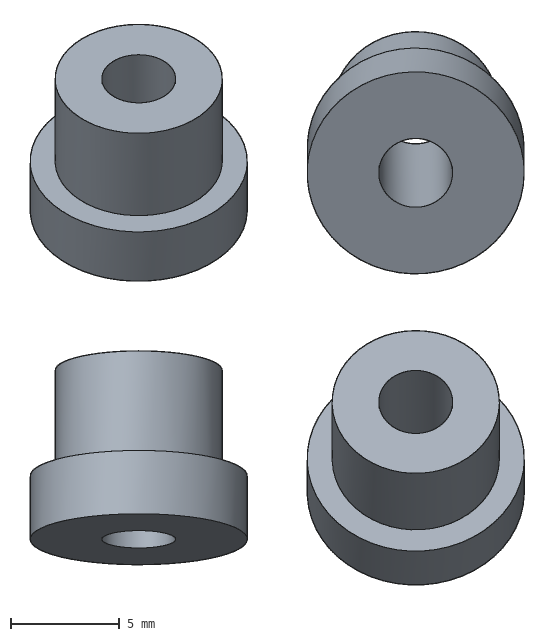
import cadquery as cq

flange_diameter = 10.0
flange_height = 3.0
sleeve_diameter = 7.7
sleeve_height = 5.0
bore_diameter = 3.4

flange = cq.Workplane("XY").circle(flange_diameter / 2).extrude(flange_height)

sleeve = (
    cq.Workplane("XY")
    .workplane(offset=flange_height)
    .circle(sleeve_diameter / 2)
    .extrude(sleeve_height)
)

bore = cq.Workplane("XY").circle(bore_diameter / 2).extrude(flange_height + sleeve_height)

result = flange.union(sleeve).cut(bore)